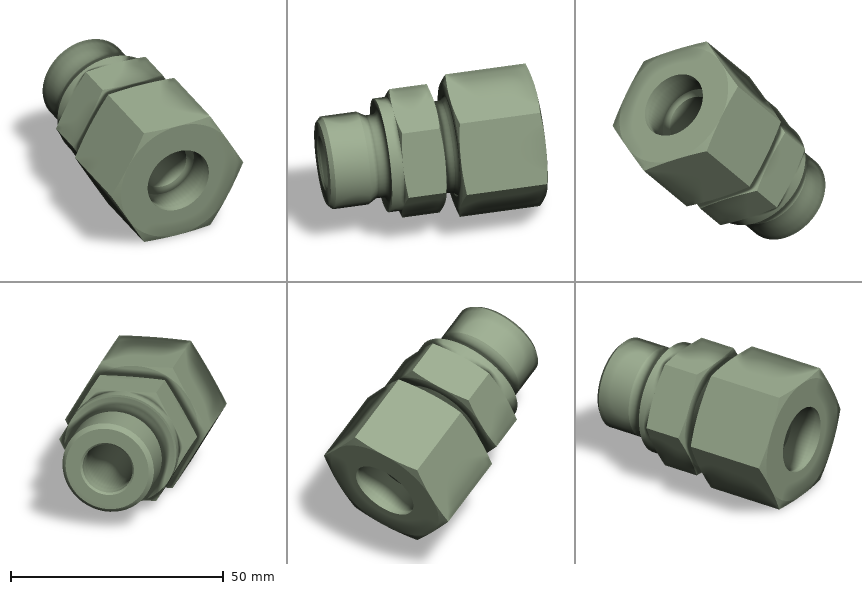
import cadquery as cq
import math

total_length = 51.0
bore_radius = 6.0
bore_chamfer = 0.45

stud_radius = 11.0
stud_chamfer = 1.0
stud_end = 9.45
neck_radius = 9.85
neck_taper_angle = 30.0
neck_taper_length = (stud_radius - neck_radius) / math.tan(math.radians(neck_taper_angle))

collar_face = 14.0
collar_radius = 13.5
sealing_edge_radius = 13.0
dish_angle = 9.0
neck_fillet = 1.1

body_hex_start = 17.0
body_hex_end = 27.1
body_hex_width = 2 * collar_radius

shank_radius = 10.9
shank_taper_start = 29.6
shank_taper_angle = 30.0
nut_thread_radius = 12.0
shank_taper_length = (nut_thread_radius - shank_radius) / math.tan(math.radians(shank_taper_angle))
shank_end = 43.0

nut_start = 30.55
nut_width = 30.0
tube_hole_radius = 8.0

hex_chamfer_angle = 15.0
hex_sides = 6


def cylinder(radius, start, end):
    """Solid cylinder along X."""
    return cq.Workplane("YZ", origin=(start, 0, 0)).circle(radius).extrude(end - start)


def revolve_about_x(profile):
    """Turn a closed profile of X and radius around the X axis."""
    return profile.close().revolve(360, (0, 0, 0), (1, 0, 0))


def chamfered_hexagon(width, start, end):
    """Hexagonal prism along X, corners on +Y and -Y, both ends turned to a shallow cone."""
    corner_diameter = width / math.cos(math.pi / hex_sides)
    corner_radius = corner_diameter / 2
    flat_radius = width / 2
    chamfer_length = (corner_radius - flat_radius) * math.tan(math.radians(hex_chamfer_angle))
    prism = cq.Workplane("YZ", origin=(start, 0, 0)).polygon(hex_sides, corner_diameter).extrude(end - start)
    turned_envelope = revolve_about_x(
        cq.Workplane("XY")
        .moveTo(start, 0)
        .lineTo(start, flat_radius)
        .lineTo(start + chamfer_length, corner_radius)
        .lineTo(end - chamfer_length, corner_radius)
        .lineTo(end, flat_radius)
        .lineTo(end, 0)
    )
    return prism.intersect(turned_envelope)


def make_stud_and_collar():
    """Stud, neck and collar; the neck fillet runs tangent into the dished collar face."""
    dish = math.radians(dish_angle)
    fillet_center_radius = neck_radius + neck_fillet
    dish_root_radius = fillet_center_radius + neck_fillet * math.sin(dish)
    dish_root_x = collar_face + (sealing_edge_radius - dish_root_radius) * math.tan(dish)
    fillet_center_x = dish_root_x - neck_fillet * math.cos(dish)
    mid_angle = (dish - math.pi / 2) / 2
    fillet_middle = (
        fillet_center_x + neck_fillet * math.cos(mid_angle),
        fillet_center_radius + neck_fillet * math.sin(mid_angle),
    )
    return revolve_about_x(
        cq.Workplane("XY")
        .moveTo(0, 0)
        .lineTo(0, stud_radius - stud_chamfer)
        .lineTo(stud_chamfer, stud_radius)
        .lineTo(stud_end, stud_radius)
        .lineTo(stud_end + neck_taper_length, neck_radius)
        .lineTo(fillet_center_x, neck_radius)
        .threePointArc(fillet_middle, (dish_root_x, dish_root_radius))
        .lineTo(collar_face, sealing_edge_radius)
        .lineTo(collar_face, collar_radius)
        .lineTo(body_hex_start, collar_radius)
        .lineTo(body_hex_start, 0)
    )


def make_shank():
    """Relief behind the hexagon, widening to the thread inside the nut."""
    return revolve_about_x(
        cq.Workplane("XY")
        .moveTo(body_hex_end, 0)
        .lineTo(body_hex_end, shank_radius)
        .lineTo(shank_taper_start, shank_radius)
        .lineTo(shank_taper_start + shank_taper_length, nut_thread_radius)
        .lineTo(shank_end, nut_thread_radius)
        .lineTo(shank_end, 0)
    )


def make_fitting_body():
    """Screw-in fitting with a through bore."""
    hexagon = chamfered_hexagon(body_hex_width, body_hex_start, body_hex_end)
    body = make_stud_and_collar().union(hexagon).union(make_shank())
    body = body.cut(cylinder(bore_radius, 0, shank_end))
    bore_rim = body.faces("<X").edges(cq.selectors.RadiusNthSelector(0))
    return bore_rim.chamfer(bore_chamfer)


def make_union_nut():
    """Hexagon nut around the shank, with a smaller tube hole at its +X end."""
    nut = chamfered_hexagon(nut_width, nut_start, total_length)
    nut = nut.cut(cylinder(nut_thread_radius, nut_start, shank_end))
    return nut.cut(cylinder(tube_hole_radius, shank_end, total_length))


fitting_body = make_fitting_body()
union_nut = make_union_nut()

result = cq.Compound.makeCompound([fitting_body.val(), union_nut.val()])